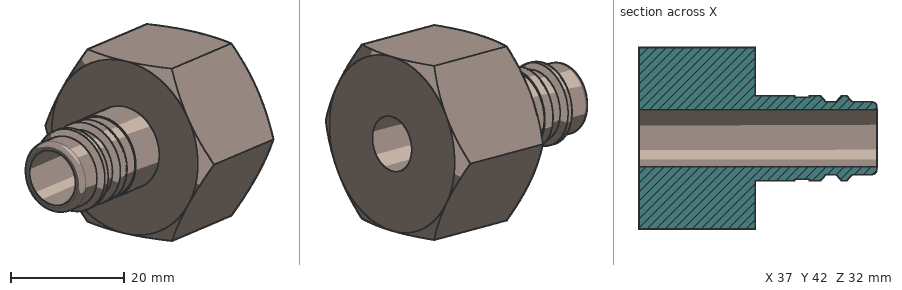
import cadquery as cq
import math

total_length = 42.0
across_flats = 32.0
nut_length = 20.55
bore_radius = 5.0
chamfer_angle = 30.0

collar_radius = 7.5
relief_radius = 7.3
neck_radius = 6.45
tip_fillet = 1.0

spigot_length = total_length - nut_length
shank_end = 6.95
relief_end = 9.55
collar_end = 11.5
rib_start = 15.15
rib_width = 0.95
bevel_length = 0.92

flat_radius = across_flats / 2
corner_radius = flat_radius / math.cos(math.radians(30))
chamfer_length = (corner_radius - flat_radius) * math.tan(math.radians(chamfer_angle))


def revolve_about_y(profile):
    """Revolve a closed (radius, y) profile about the Y axis."""
    return profile.close().revolve(360, (0, 0, 0), (0, 1, 0))


def make_nut():
    """Hexagon with corners on X, chamfered conically at both ends."""
    hexagon = cq.Workplane("XZ").polygon(6, 2 * corner_radius).extrude(-nut_length)
    envelope = revolve_about_y(
        cq.Workplane("XY").polyline([
            (0, 0),
            (flat_radius, 0),
            (corner_radius, chamfer_length),
            (corner_radius, nut_length - chamfer_length),
            (flat_radius, nut_length),
            (0, nut_length),
        ])
    )
    return hexagon.intersect(envelope)


def make_spigot():
    """Stepped spigot with a relief, a bevelled collar, a rib and a rounded tip."""
    rib_end = rib_start + rib_width
    spigot = revolve_about_y(
        cq.Workplane("XY").polyline([
            (0, 0),
            (collar_radius, 0),
            (collar_radius, -shank_end),
            (relief_radius, -shank_end),
            (relief_radius, -relief_end),
            (collar_radius, -relief_end),
            (collar_radius, -collar_end),
            (neck_radius, -collar_end - bevel_length),
            (neck_radius, -rib_start + bevel_length),
            (collar_radius, -rib_start),
            (collar_radius, -rib_end),
            (neck_radius, -rib_end - bevel_length),
            (neck_radius, -spigot_length),
            (0, -spigot_length),
        ])
    )
    return spigot.faces("<Y").edges().fillet(tip_fillet)


bore = (
    cq.Workplane("XZ", origin=(0, nut_length, 0))
    .circle(bore_radius)
    .extrude(total_length)
)

result = make_nut().union(make_spigot()).cut(bore)